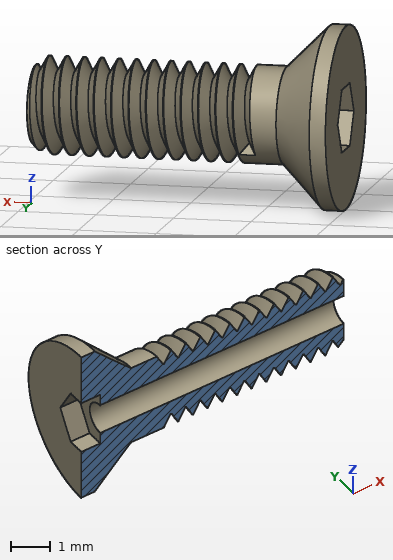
import cadquery as cq
import math

overall_length = 8.0
head_diameter = 4.7
head_rim_width = 0.42
shank_diameter = 2.5
bore_diameter = 0.91
tip_chamfer = 0.25

socket_across_flats = 1.61
socket_depth = 0.58

thread_start = 2.4
lead_in_turns = 1 / 8
thread_pitch = 0.45
crest_width = 0.02
flank_half_angle = math.radians(30)
groove_overshoot = 0.08
boolean_tolerance = 0.001

head_radius = head_diameter / 2
shank_radius = shank_diameter / 2
head_length = head_rim_width + head_radius - shank_radius


def make_blank():
    """Head, countersink and shank with a chamfered tip, revolved about X."""
    return (
        cq.Workplane("XY")
        .moveTo(0, 0)
        .lineTo(0, -head_radius)
        .lineTo(head_rim_width, -head_radius)
        .lineTo(head_length, -shank_radius)
        .lineTo(overall_length - tip_chamfer, -shank_radius)
        .lineTo(overall_length, tip_chamfer - shank_radius)
        .lineTo(overall_length, 0)
        .close()
        .revolve(360, (0, 0, 0), (1, 0, 0))
    )


def make_thread_groove():
    """Right-handed V-groove that runs out past the tip."""
    half_width = (thread_pitch - crest_width) / 2
    root_radius = shank_radius - half_width / math.tan(flank_half_angle)
    outer_radius = shank_radius + groove_overshoot
    groove_length = overall_length - thread_start + thread_pitch
    lead_in = lead_in_turns * thread_pitch
    helix = cq.Wire.makeHelix(thread_pitch, groove_length, shank_radius)
    groove = (
        cq.Workplane("XZ")
        .moveTo(root_radius, 0)
        .lineTo(shank_radius, half_width)
        .lineTo(outer_radius, half_width)
        .lineTo(outer_radius, -half_width)
        .lineTo(shank_radius, -half_width)
        .close()
        .sweep(cq.Workplane(obj=helix), isFrenet=True)
    )
    groove = groove.rotate((0, 0, 0), (1, 1, 1), 120)
    groove = groove.rotate((0, 0, 0), (1, 0, 0), -360 * lead_in_turns)
    return groove.translate((thread_start - lead_in, 0, 0))


def make_socket():
    """Hexagonal recess in the head face, with two flats facing up and down."""
    across_corners = socket_across_flats / math.cos(math.pi / 6)
    return cq.Workplane("YZ").polygon(6, across_corners).extrude(socket_depth)


def make_bore():
    """Round hole through the full length."""
    return cq.Workplane("YZ").circle(bore_diameter / 2).extrude(overall_length)


bored_blank = make_blank().cut(make_socket()).cut(make_bore())
result = bored_blank.cut(make_thread_groove(), clean=False, tol=boolean_tolerance)